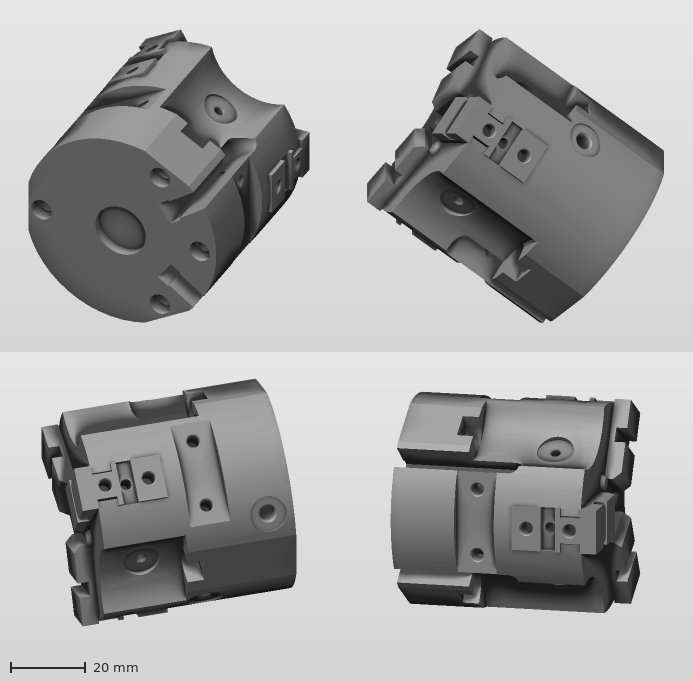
import cadquery as cq


HOUSING_RADIUS = 28.5
HOUSING_LENGTH = 52.5
JAW_ANGLES = (0, 120, 240)
SLOT_ANGLES = (35, -35)
FLAT_RADIUS = 27.5
CENTRE_RECESS_DIAMETER = 15.0
CENTRE_RECESS_DEPTH = 3.0
CHAMFER_ANGLE = 45
OVERSHOOT = 1.15

SCALLOP_RADIUS = 16.4
SCALLOP_FLOOR = 19.95
SCALLOP_STARTS = {60: 19.95, 180: 29.9, 300: 19.95}
SPOTFACE_DIAMETER = 10.0
SCALLOP_SPOTFACE_FLOOR = 19.5
SCALLOP_HOLE_Y = 41.0
SCALLOP_HOLE_DIAMETER = 2.55
SCALLOP_HOLE_DEPTH = 5.7
SCALLOP_HOLE_CHAMFER = 0.3

MOUNT_CIRCLE_RADIUS = 23.5
SLEEVE_DIAMETER = 6.05
SLEEVE_DEPTH = 3.7
SLEEVE_FLOOR_CHAMFER = 0.35
MOUNT_HOLE_DIAMETER = 4.3
BLIND_HOLE_DIAMETER = 4.1
BLIND_HOLE_DEPTH = 11.4
BLIND_HOLE_CONE_HEIGHT = 1.15
HEAD_NOTCH_WIDTH = 7.5
HEAD_NOTCH_DEPTH = 4.5

SLOT_WIDTH = 5.5
SLOT_INNER_WIDTH = 6.5
SLOT_END_Y = 31.5
SLOT_FLOOR = 15.95
SLOT_STEP = 19.55

PAD_ANGLES = (0, 120)
PAD_FLOOR = 24.7
PAD_START = 17.5
PAD_LENGTH = 11.0
PAD_HOLE_SPACING = 18.0
PAD_HOLE_DIAMETER = 3.3
PAD_HOLE_DEPTH = 7.0
PAD_HOLE_CONE_HEIGHT = 0.95
PAD_HOLE_CHAMFER = 0.35

PORTS = {150: 7.0, 210: 24.5}
PORT_SPOTFACE_FLOOR = 27.6
PORT_DIAMETER = 4.2
PORT_DEPTH = 6.25
PORT_CHAMFER = 0.45

STUD_CIRCLE_RADIUS = 9.1
STUD_SPHERE_RADIUS = 2.5
STUD_SPHERE_SINK = 0.75
STUD_HEIGHT = 1.2

JAW_INNER = 6.55
JAW_OUTER = 29.0
JAW_WIDTH = 11.95
JAW_TOP = 57.0
JAW_TIP_CHAMFER_X = 1.95
JAW_TIP_CHAMFER_Y = 2.1
NECK_WIDTH = 7.0
NECK_CLEARANCE = 0.45
NECK_START = 47.0
FOOT_START = 33.6
GROOVE_START = 41.55
GROOVE_END = 45.65
GROOVE_FLOOR = 26.0
GROOVE_HOLE_DIAMETER = 2.95
CROSS_SLOT_CENTRE = 19.0
CROSS_SLOT_WIDTH = 4.0
CROSS_SLOT_DEPTH = 3.0
JAW_HOLE_YS = (37.6, 49.55)
JAW_HOLE_DIAMETER = 3.4
JAW_HOLE_CHAMFER = 0.3
JAW_HOLE_DEPTH = 6.85


def turned(shape, angle):
    """Turn a shape about the gripper axis, from +X towards +Z."""
    return shape.rotate((0, 0, 0), (0, -1, 0), angle)


def radial_block(inner, outer, start, end, width):
    """Block along +X, from inner to outer, centred on Z = 0."""
    return cq.Workplane("XY").box(
        outer - inner, end - start, width, centered=(False, False, True)
    ).translate((inner, start, 0))


def axial_cylinder(x, start, length, diameter):
    """Cylinder along +Y with its axis at (x, 0)."""
    return cq.Workplane("XZ", origin=(x, start, 0)).circle(diameter / 2).extrude(-length)


def radial_hole(mouth, y, z, diameter, depth, chamfer=0.0):
    """Cutter of a blind hole running inwards along -X from X = mouth."""
    hole = cq.Workplane("YZ", origin=(mouth, y, z)).circle(diameter / 2).extrude(-depth)
    if chamfer:
        hole = hole.union(
            cq.Workplane("YZ", origin=(mouth, y, z))
            .circle(diameter / 2 + chamfer)
            .extrude(-chamfer, taper=CHAMFER_ANGLE)
        )
    return hole


def spotface(floor, y):
    """Cutter of a round flat facing +X, open outwards."""
    return (
        cq.Workplane("YZ", origin=(floor, y, 0))
        .circle(SPOTFACE_DIAMETER / 2)
        .extrude(HOUSING_RADIUS + OVERSHOOT - floor)
    )


def scallop(start):
    """Hollow in the side of the housing, open at the guide end."""
    return axial_cylinder(
        SCALLOP_FLOOR + SCALLOP_RADIUS, start, HOUSING_LENGTH + OVERSHOOT - start, 2 * SCALLOP_RADIUS
    )


def scallop_hole():
    """Tapped hole with its spotface in the floor of a scallop."""
    return spotface(SCALLOP_SPOTFACE_FLOOR, SCALLOP_HOLE_Y).union(
        radial_hole(
            SCALLOP_SPOTFACE_FLOOR, SCALLOP_HOLE_Y, 0,
            SCALLOP_HOLE_DIAMETER, SCALLOP_HOLE_DEPTH, SCALLOP_HOLE_CHAMFER,
        )
    )


def sleeve_seat():
    """Counterbore for a centring sleeve in the end face."""
    return axial_cylinder(MOUNT_CIRCLE_RADIUS, 0, SLEEVE_DEPTH, SLEEVE_DIAMETER)


def through_mount(notch_top):
    """Mounting hole up to a scallop, with a U-shaped seat for the screw head."""
    notch_start = notch_top - HEAD_NOTCH_DEPTH
    hole = axial_cylinder(MOUNT_CIRCLE_RADIUS, 0, notch_top, MOUNT_HOLE_DIAMETER)
    chamfer = (
        cq.Workplane("XZ", origin=(MOUNT_CIRCLE_RADIUS, SLEEVE_DEPTH, 0))
        .circle(MOUNT_HOLE_DIAMETER / 2 + SLEEVE_FLOOR_CHAMFER)
        .extrude(-SLEEVE_FLOOR_CHAMFER, taper=CHAMFER_ANGLE)
    )
    seat = axial_cylinder(MOUNT_CIRCLE_RADIUS, notch_start, HEAD_NOTCH_DEPTH, HEAD_NOTCH_WIDTH)
    opening = radial_block(MOUNT_CIRCLE_RADIUS, HOUSING_RADIUS, notch_start, notch_top, HEAD_NOTCH_WIDTH)
    return sleeve_seat().union(hole).union(chamfer).union(seat).union(opening)


def blind_mount():
    """Blind mounting hole with a conical bottom, below a jaw."""
    radius = BLIND_HOLE_DIAMETER / 2
    cone = cq.Solid.makeCone(
        radius, 0, BLIND_HOLE_CONE_HEIGHT,
        cq.Vector(MOUNT_CIRCLE_RADIUS, BLIND_HOLE_DEPTH, 0), cq.Vector(0, 1, 0),
    )
    hole = axial_cylinder(MOUNT_CIRCLE_RADIUS, 0, BLIND_HOLE_DEPTH, BLIND_HOLE_DIAMETER)
    return sleeve_seat().union(hole).union(cq.Workplane(cone))


def slot_stage(width):
    """Slot from the end face to a rounded end, reaching inwards to the slot floor."""
    outer = HOUSING_RADIUS + OVERSHOOT
    straight = radial_block(SLOT_FLOOR, outer, -OVERSHOOT, SLOT_END_Y, width)
    rounded_end = (
        cq.Workplane("YZ", origin=(SLOT_FLOOR, SLOT_END_Y, 0))
        .circle(width / 2)
        .extrude(outer - SLOT_FLOOR)
    )
    return straight.union(rounded_end)


def sensor_slot():
    """Slot that widens near its floor."""
    wide = slot_stage(SLOT_INNER_WIDTH)
    beyond_step = radial_block(
        SLOT_STEP, HOUSING_RADIUS + 2 * OVERSHOOT, -2 * OVERSHOOT, HOUSING_LENGTH, 2 * SLOT_INNER_WIDTH
    )
    return wide.cut(beyond_step).union(slot_stage(SLOT_WIDTH))


def side_pad():
    """Flat across the side behind a jaw, with two tapped holes that end in cones."""
    pad_end = PAD_START + PAD_LENGTH
    cutter = radial_block(PAD_FLOOR, HOUSING_RADIUS + OVERSHOOT, PAD_START, pad_end, 2 * HOUSING_RADIUS)
    hole_y = PAD_START + PAD_LENGTH / 2
    for side in (-1, 1):
        hole_z = side * PAD_HOLE_SPACING / 2
        hole = radial_hole(
            PAD_FLOOR, hole_y, hole_z, PAD_HOLE_DIAMETER, PAD_HOLE_DEPTH, PAD_HOLE_CHAMFER
        )
        cone = cq.Solid.makeCone(
            PAD_HOLE_DIAMETER / 2, 0, PAD_HOLE_CONE_HEIGHT,
            cq.Vector(PAD_FLOOR - PAD_HOLE_DEPTH, hole_y, hole_z), cq.Vector(-1, 0, 0),
        )
        cutter = cutter.union(hole).union(cq.Workplane(cone))
    return cutter


def jaw_guide():
    """T-shaped guide that holds a jaw."""
    outer = JAW_OUTER + OVERSHOOT
    foot_channel = radial_block(JAW_INNER, outer, FOOT_START, NECK_START, JAW_WIDTH)
    neck_channel = radial_block(JAW_INNER, outer, NECK_START, HOUSING_LENGTH, NECK_WIDTH + 2 * NECK_CLEARANCE)
    return foot_channel.union(neck_channel)


def air_port(y):
    """Threaded port with its spotface."""
    return spotface(PORT_SPOTFACE_FLOOR, y).union(
        radial_hole(PORT_SPOTFACE_FLOOR, y, 0, PORT_DIAMETER, PORT_DEPTH, PORT_CHAMFER)
    )


def stud():
    """Domed stud with a flat top on the guide end: a slice of a sphere."""
    sphere = cq.Workplane("XY").sphere(STUD_SPHERE_RADIUS).translate(
        (STUD_CIRCLE_RADIUS, HOUSING_LENGTH - STUD_SPHERE_SINK, 0)
    )
    slice_zone = axial_cylinder(STUD_CIRCLE_RADIUS, HOUSING_LENGTH, STUD_HEIGHT, 3 * STUD_SPHERE_RADIUS)
    return sphere.intersect(slice_zone)


def make_housing():
    """Body that carries the jaws."""
    housing = axial_cylinder(0, 0, HOUSING_LENGTH, 2 * HOUSING_RADIUS)
    housing = housing.cut(axial_cylinder(0, 0, CENTRE_RECESS_DEPTH, CENTRE_RECESS_DIAMETER))
    flat = radial_block(
        FLAT_RADIUS, HOUSING_RADIUS + OVERSHOOT, 0, HOUSING_LENGTH, 2 * HOUSING_RADIUS
    )
    for angle, start in SCALLOP_STARTS.items():
        for cutter in (flat, scallop(start), scallop_hole(), through_mount(start)):
            housing = housing.cut(turned(cutter, angle))
        housing = housing.union(turned(stud(), angle))
    for angle in JAW_ANGLES:
        housing = housing.cut(turned(jaw_guide(), angle))
    for angle in PAD_ANGLES:
        housing = housing.cut(turned(side_pad(), angle))
    for angle in SLOT_ANGLES:
        housing = housing.cut(turned(sensor_slot(), angle))
    for angle, y in PORTS.items():
        housing = housing.cut(turned(air_port(y), angle))
    return housing.cut(blind_mount())


def make_jaw():
    """Jaw that slides along +X: gripping block, neck and guided foot."""
    block = radial_block(JAW_INNER, JAW_OUTER, HOUSING_LENGTH, JAW_TOP, JAW_WIDTH)
    tip_chamfer = (
        cq.Workplane("XY", origin=(0, 0, -JAW_WIDTH / 2))
        .moveTo(JAW_INNER, JAW_TOP)
        .lineTo(JAW_INNER + JAW_TIP_CHAMFER_X, JAW_TOP)
        .lineTo(JAW_INNER, JAW_TOP - JAW_TIP_CHAMFER_Y)
        .close()
        .extrude(JAW_WIDTH)
    )
    cross_slot = radial_block(
        CROSS_SLOT_CENTRE - CROSS_SLOT_WIDTH / 2, CROSS_SLOT_CENTRE + CROSS_SLOT_WIDTH / 2,
        JAW_TOP - CROSS_SLOT_DEPTH, JAW_TOP, JAW_WIDTH,
    )
    neck = radial_block(JAW_INNER, JAW_OUTER, NECK_START, HOUSING_LENGTH, NECK_WIDTH)
    foot = radial_block(JAW_INNER, JAW_OUTER, FOOT_START, NECK_START, JAW_WIDTH)
    groove = radial_block(GROOVE_FLOOR, JAW_OUTER, GROOVE_START, GROOVE_END, JAW_WIDTH)
    jaw = block.union(neck).union(foot).cut(tip_chamfer).cut(cross_slot).cut(groove)
    groove_y = (GROOVE_START + GROOVE_END) / 2
    jaw = jaw.cut(radial_hole(GROOVE_FLOOR, groove_y, 0, GROOVE_HOLE_DIAMETER, JAW_HOLE_DEPTH))
    for y in JAW_HOLE_YS:
        jaw = jaw.cut(radial_hole(JAW_OUTER, y, 0, JAW_HOLE_DIAMETER, JAW_HOLE_DEPTH, JAW_HOLE_CHAMFER))
    return jaw


housing = make_housing()
jaws = [turned(make_jaw(), angle) for angle in JAW_ANGLES]

result = cq.Compound.makeCompound([housing.val(), *[jaw.val() for jaw in jaws]])